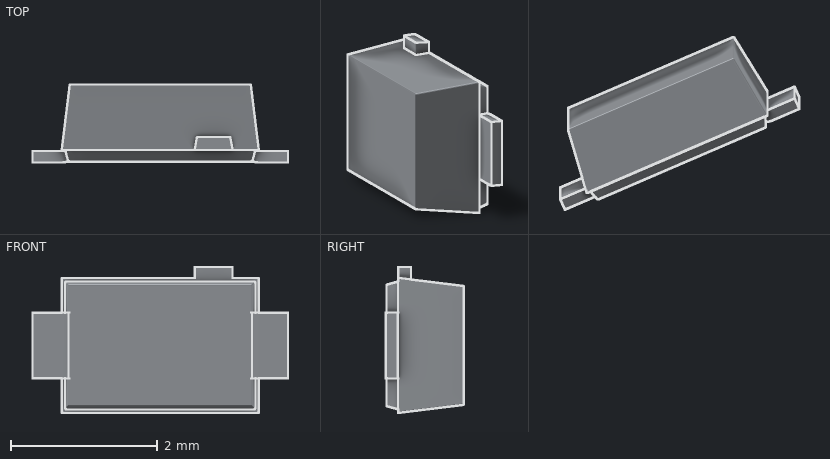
import cadquery as cq
import math

parting_length = 2.7
parting_height = 1.85
rear_depth = 0.9
rear_draft = 7.0
front_step = 0.05
front_depth = 0.16
front_draft = 15.0
edge_radius = 0.02

tab_center_x = 0.73
tab_base_width = 0.52
tab_depth = 0.18
tab_draft = 10.0
tab_rise = 0.15
tab_root = 0.3
tab_corner_radius = 0.02

lead_span = 3.5
lead_width = 0.9
lead_thickness = 0.16
lead_standoff = 0.01
lead_bend_start = 1.345
lead_inner_radius = 0.08
lead_bend_angle = 45.0


def tapered_block(length, height, depth, draft):
    """Block growing from Y = 0 towards -Y, narrowing with the draft, with rounded free edges."""
    block = cq.Workplane("XZ").rect(length, height).extrude(depth, taper=draft)
    return block.edges("not(>Y)").fillet(edge_radius)


def make_tab():
    """Trapezoidal tab rising above the package, rooted inside the rear half."""
    half_base = tab_base_width / 2
    half_tip = half_base - tab_depth * math.tan(math.radians(tab_draft))
    outline = [
        (tab_center_x - half_base, 0),
        (tab_center_x + half_base, 0),
        (tab_center_x + half_tip, tab_depth),
        (tab_center_x - half_tip, tab_depth),
    ]
    top = parting_height / 2 + tab_rise
    root = parting_height / 2 - tab_root
    tab = cq.Workplane("XY").workplane(offset=root).polyline(outline).close().extrude(top - root)
    return tab.edges("|Z and >Y").fillet(tab_corner_radius)


def make_lead():
    """Lead at the +X end: a flat foot that bends up and ends inside the package."""
    foot_y = -front_depth - lead_standoff
    top_y = foot_y + lead_thickness
    outer_radius = lead_inner_radius + lead_thickness
    bend_y = foot_y + outer_radius

    def bend_point(radius, angle):
        turn = math.radians(angle)
        return (lead_bend_start - radius * math.sin(turn), bend_y - radius * math.cos(turn))

    half_angle = lead_bend_angle / 2
    return (
        cq.Workplane("XY")
        .workplane(offset=-lead_width / 2)
        .moveTo(lead_span / 2, foot_y)
        .lineTo(lead_bend_start, foot_y)
        .threePointArc(bend_point(outer_radius, half_angle), bend_point(outer_radius, lead_bend_angle))
        .lineTo(*bend_point(lead_inner_radius, lead_bend_angle))
        .threePointArc(bend_point(lead_inner_radius, half_angle), (lead_bend_start, top_y))
        .lineTo(lead_span / 2, top_y)
        .close()
        .extrude(lead_width)
    )


def make_rear():
    """Deep half of the package, behind the parting plane, moulded together with the gate tab."""
    block = tapered_block(parting_length, parting_height, rear_depth, rear_draft)
    return block.rotate((0, 0, 0), (0, 0, 1), 180).union(make_tab())


def make_front():
    """Shallow half of the package, set in from the parting outline by a step all round."""
    length = parting_length - 2 * front_step
    height = parting_height - 2 * front_step
    return tapered_block(length, height, front_depth, front_draft)


rear = make_rear()
front = make_front()
right_lead = make_lead()
leads = [right_lead, right_lead.mirror("YZ")]
for lead in leads:
    rear = rear.cut(lead)
    front = front.cut(lead)

bodies = [rear, front, *leads]
result = cq.Compound.makeCompound([body.solids().val() for body in bodies])